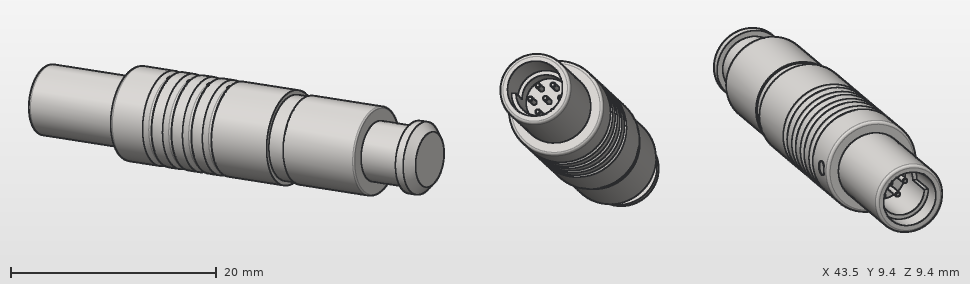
import cadquery as cq
import math

nose_length = 10.0
nose_radius = 3.5
nose_edge_round = 0.3

body_end = 27.8
body_radius = 4.7
body_edge_round = 0.3
groove_count = 4
groove_first_start = 13.75
groove_pitch = 2.26
groove_width = 1.0
groove_cone_length = 0.5
groove_cone_angle = 30.0

index_mark_position = 11.5
index_mark_radius = 0.7
index_mark_depth = 0.1

neck_end = 29.5
neck_radius = 4.25
sleeve_end = 37.5
sleeve_radius = 4.4
sleeve_edge_round = 0.15

stem_radius = 3.0
flange_start = 41.75
flange_radius = 3.6
flange_chamfer = 0.88
total_length = 43.5

socket_radius = 2.73
half_ring_start = 2.0
socket_depth = 5.0
insert_radius = 2.3
insert_depth = 7.0

pin_radius = 0.25
pin_length = 2.0
pin_tip_chamfer = 0.07
pin_circle_radius = 1.5
ring_pin_count = 6


def cylinder(radius, start, end):
    """Solid cylinder about the X axis between two X positions."""
    return cq.Workplane("YZ", origin=(start, 0, 0)).circle(radius).extrude(end - start)


def ring_groove(start):
    """Ring that cuts a groove: a cone sinking away from the nose, then a tangent arc back to the surface."""
    slope = math.radians(groove_cone_angle)
    cone_depth = groove_cone_length * math.tan(slope)
    return (
        cq.Workplane("XY")
        .moveTo(start, -body_radius)
        .lineTo(start + groove_cone_length, cone_depth - body_radius)
        .tangentArcPoint((start + groove_width, -body_radius), relative=False)
        .close()
        .revolve(360, (0, 0, 0), (1, 0, 0))
    )


def outer_shell():
    """All stepped outer cylinders with their edge treatments."""
    nose = cylinder(nose_radius, 0, nose_length).faces("<X").edges().fillet(nose_edge_round)
    body = cylinder(body_radius, nose_length, body_end).faces("<X").edges().fillet(body_edge_round)
    neck = cylinder(neck_radius, body_end, neck_end)
    sleeve = cylinder(sleeve_radius, neck_end, sleeve_end).faces(">X").edges().fillet(sleeve_edge_round)
    stem = cylinder(stem_radius, sleeve_end, flange_start)
    flange = cylinder(flange_radius, flange_start, total_length).faces(">X").edges().chamfer(flange_chamfer)
    for index in range(groove_count):
        body = body.cut(ring_groove(groove_first_start + index * groove_pitch))
    return nose.union(body).union(neck).union(sleeve).union(stem).union(flange)


def index_mark():
    """Disc that sinks the flat-floored index mark, running outward from its floor along +Y."""
    floor = body_radius - index_mark_depth
    mark = cq.Workplane("XZ", origin=(index_mark_position, floor, 0)).circle(index_mark_radius)
    return mark.extrude(-2 * index_mark_depth)


def contact_pins():
    """Pins standing on the socket floor, pointing towards the open end of the nose."""
    places = [(0, 0)]
    for index in range(ring_pin_count):
        angle = 2 * math.pi * index / ring_pin_count
        places.append((pin_circle_radius * math.cos(angle), pin_circle_radius * math.sin(angle)))
    pin_tip = insert_depth - pin_length
    pins = cq.Workplane("YZ", origin=(pin_tip, 0, 0)).pushPoints(places).circle(pin_radius).extrude(pin_length)
    return pins.faces("<X").edges().chamfer(pin_tip_chamfer)


def socket():
    """Space inside the nose: a wide bore, halved by the lower ring, and a narrower bore behind it."""
    lower_half = (
        cq.Workplane("XY", origin=((half_ring_start + socket_depth) / 2, 0, 0))
        .rect(socket_depth - half_ring_start, 2 * socket_radius)
        .extrude(-socket_radius)
    )
    wide_bore = cylinder(socket_radius, 0, socket_depth).cut(lower_half)
    return wide_bore.union(cylinder(insert_radius, 0, insert_depth))


result = outer_shell().cut(index_mark()).cut(socket()).union(contact_pins())